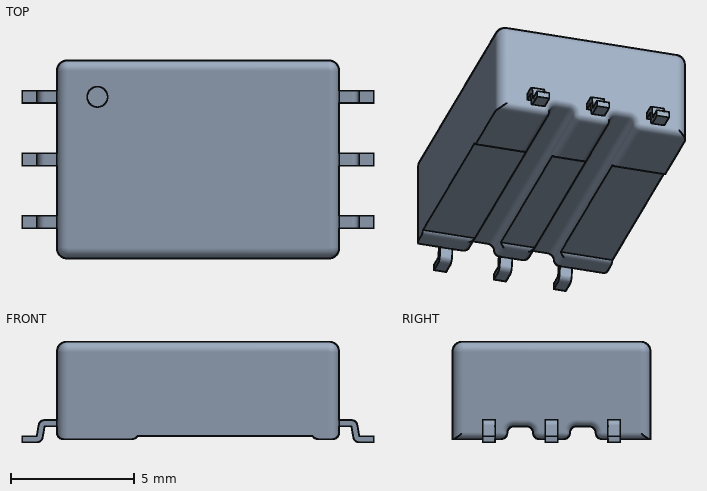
import cadquery as cq
import math

overall_length = 14.25
overall_height = 4.09
standoff = 0.13
body_length = 11.44
body_width = 8.04
body_height = overall_height - standoff

corner_radius = 0.43
top_radius = 0.41
end_bottom_radius = 0.27
edge_margin = 0.01

channel_length = 7.1
channel_center_x = 1.1
channel_depth = 0.13
channel_edge_radius = end_bottom_radius

lead_pitch = 2.54
lead_rows = (-1, 0, 1)
lead_width = 0.51
lead_thickness = 0.25
lead_top = 0.91
foot_length = 0.58
leg_tilt = math.radians(10)
bend_radius = lead_thickness
lead_embed = 0.43

notch_width = 1.03
notch_depth = 0.51
notch_top_radius = notch_depth - end_bottom_radius

dimple_radius = 0.41
dimple_depth = 0.1
dimple_x = -4.08
dimple_y = lead_pitch


def make_notch(center_y):
    """Round-topped notch whose mouth flares out to meet the underside."""
    half = notch_width / 2
    flare = end_bottom_radius
    top = standoff + notch_depth
    bend = standoff + flare
    flat = half - notch_top_radius
    flare_sag = flare * (1 - math.sqrt(0.5))
    top_sag = notch_top_radius * (1 - math.sqrt(0.5))
    profile = (
        cq.Workplane("YZ", origin=(0, center_y, 0))
        .moveTo(-half - flare, standoff)
        .threePointArc((-half - flare_sag, standoff + flare_sag), (-half, bend))
        .threePointArc((-half + top_sag, top - top_sag), (-flat, top))
        .lineTo(flat, top)
        .threePointArc((half - top_sag, top - top_sag), (half, bend))
        .threePointArc((half + flare_sag, standoff + flare_sag), (half + flare, standoff))
        .close()
    )
    return profile.extrude(body_length, both=True)


def make_block():
    """Plain block standing at the height of the body underside."""
    block = cq.Workplane("XY", origin=(0, 0, standoff))
    return block.box(body_length, body_width, body_height, centered=(True, True, False))


def make_channel():
    """Shallow channel across the full width of the underside, with rounded lips."""
    half = channel_length / 2
    run = math.sqrt(channel_edge_radius**2 - (channel_edge_radius - channel_depth) ** 2)
    top = standoff + channel_depth
    profile = (
        cq.Workplane("XZ", origin=(channel_center_x, 0, 0))
        .moveTo(-half - run, standoff)
        .radiusArc((-half, top), -channel_edge_radius)
        .lineTo(half, top)
        .radiusArc((half + run, standoff), -channel_edge_radius)
        .close()
    )
    return profile.extrude(body_width, both=True)


def make_body():
    """Moulded block, notched and rounded along its lower end edges, inside a rounded envelope."""
    block = make_block()
    for side in (-0.5, 0.5):
        block = block.cut(make_notch(side * lead_pitch))
    inset_half_width = body_width / 2 - edge_margin
    lower_end_edges = cq.selectors.BoxSelector(
        (-body_length, -inset_half_width, 0),
        (body_length, inset_half_width, standoff + notch_depth + edge_margin),
    )
    block = block.faces("<X or >X").edges(lower_end_edges).fillet(end_bottom_radius)
    envelope = make_block().edges("|Z").fillet(corner_radius).faces(">Z").edges().fillet(top_radius)
    return block.intersect(envelope).cut(make_channel())


def make_lead(center_y):
    """Gull-wing lead on the -X end: flat foot, tilted leg and a shelf running into the body."""
    foot_tip = -overall_length / 2
    shelf_end = -body_length / 2 + lead_embed
    shelf_bottom = lead_top - lead_thickness
    slope = math.tan(leg_tilt)
    leg_thickness = lead_thickness / math.cos(leg_tilt)
    leg_outer = foot_tip + foot_length - lead_thickness * slope
    leg_inner = leg_outer + leg_thickness
    outline = [
        (foot_tip, 0),
        (leg_inner, 0),
        (leg_inner + shelf_bottom * slope, shelf_bottom),
        (shelf_end, shelf_bottom),
        (shelf_end, lead_top),
        (leg_outer + lead_top * slope, lead_top),
        (foot_tip + foot_length, lead_thickness),
        (foot_tip, lead_thickness),
    ]
    lead = (
        cq.Workplane("XZ", origin=(0, center_y, 0))
        .polyline(outline)
        .close()
        .extrude(lead_width / 2, both=True)
    )
    for bend_x, bend_z in (outline[1], outline[5]):
        bend = cq.selectors.NearestToPointSelector((bend_x, center_y, bend_z))
        lead = lead.edges("|Y").edges(bend).fillet(bend_radius)
    return lead


def make_dimple():
    """Shallow round recess marking pin one."""
    top_plane = cq.Workplane("XY", origin=(dimple_x, dimple_y, overall_height))
    return top_plane.circle(dimple_radius).extrude(-dimple_depth)


result = make_body().cut(make_dimple())
for row in lead_rows:
    lead = make_lead(row * lead_pitch)
    result = result.union(lead).union(lead.mirror("YZ"))